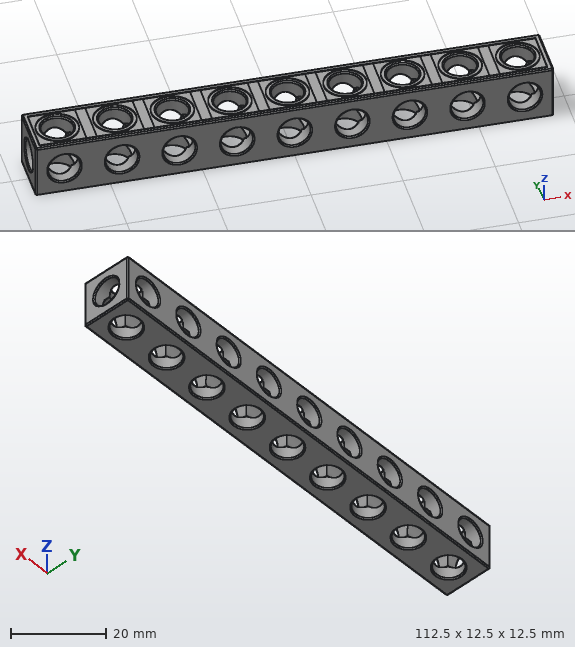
import cadquery as cq

length = 112.5
cell_count = 9
pitch = length / cell_count
width = pitch
edge_chamfer = 0.3

bore_diameter = 7.0
bore_chamfer = 0.3

rim = 1.1
recess_depth = 0.17
pocket_side = pitch - 2 * rim
pocket_depth = 0.19
ring_diameter = 9.2

half_width = width / 2
cell_centres = [(pitch * (i - (cell_count - 1) / 2), 0) for i in range(cell_count)]


def below_top(depth):
    """Horizontal workplane at the given depth below the top face."""
    return cq.Workplane("XY", origin=(0, 0, half_width - depth))


def chamfered_bore(depth):
    """Cutter along Z, centred on the origin, flared at both mouths."""
    radius = bore_diameter / 2
    mouth_radius = radius + bore_chamfer
    end = depth / 2
    return (
        cq.Workplane("XZ")
        .moveTo(0, -end)
        .lineTo(mouth_radius, -end)
        .lineTo(radius, -end + bore_chamfer)
        .lineTo(radius, end - bore_chamfer)
        .lineTo(mouth_radius, end)
        .lineTo(0, end)
        .close()
        .revolve(360, (0, 0, 0), (0, 1, 0))
    )


def top_relief():
    """Material removed from the top face: recess and pockets, less the rings."""
    recess = (
        below_top(recess_depth)
        .rect(length - 2 * rim, width - 2 * rim)
        .extrude(recess_depth)
    )
    pockets = (
        below_top(pocket_depth)
        .pushPoints(cell_centres)
        .rect(pocket_side, pocket_side)
        .extrude(pocket_depth)
    )
    rings = (
        below_top(pocket_depth)
        .pushPoints(cell_centres)
        .circle(ring_diameter / 2)
        .extrude(pocket_depth)
    )
    return recess.union(pockets).cut(rings)


beam = cq.Workplane("XY").box(length, width, width).edges().chamfer(edge_chamfer)
beam = beam.cut(top_relief())

vertical_bore = chamfered_bore(width)
cross_bore = vertical_bore.rotate((0, 0, 0), (1, 0, 0), 90)
for x, y in cell_centres:
    beam = beam.cut(vertical_bore.translate((x, y, 0)))
    beam = beam.cut(cross_bore.translate((x, y, 0)))

long_bore = chamfered_bore(length).rotate((0, 0, 0), (0, 1, 0), 90)
result = beam.cut(long_bore)